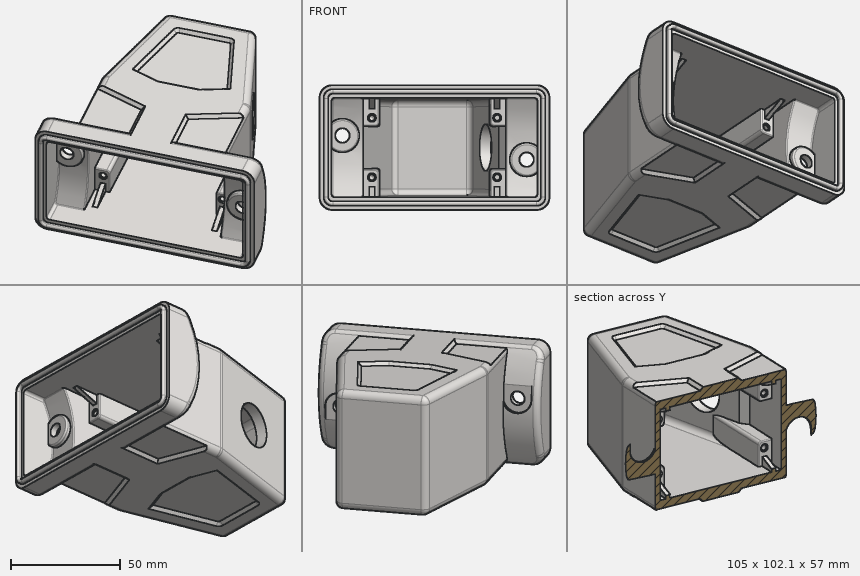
import cadquery as cq
import math

flange_width = 105.0
height = 57.0
half_height = height / 2
depth = 100.0

body_width = 71.0
body_half = body_width / 2
taper_start = 47.2
taper_tan = math.tan(math.radians(15))
back_half = body_half - (depth - taper_start) * taper_tan
edge_round = 3.5
kink_round = 5.5

flange_corner = 6.0
flange_crown = 20.0
crown_radius = 48.0
crown_center = flange_crown - crown_radius
flange_round = 3.0

mouth_half_width = 47.0
mouth_half_height = 22.65
mouth_corner = 1.5
cavity_draft = 0.6
roof_thickness = 2.5
roof_radius = crown_radius - roof_thickness
back_thickness = 4.0
cavity_end = depth - back_thickness
cavity_end_half_height = mouth_half_height - cavity_end * math.tan(math.radians(cavity_draft))
roof_round = 0.5
passage_half = 32.5
left_end_x = -19.0
inner_kink_y = cavity_end - (passage_half + left_end_x) / taper_tan
cavity_round = 3.0

right_end_x = 16.8
pad_start_x = 29.3
pad_start_y = cavity_end - (pad_start_x - right_end_x) / taper_tan

entry_diameter = 21.3
entry_x = 23.3
entry_y = cavity_end - (entry_x - right_end_x) / taper_tan
entry_reach = 15.0

screw_x = 42.0
screw_z = 5.5
screw_hole = 6.5
screw_boss = 15.4
screw_boss_tip = 14.8
boss_round = 0.8
spotface_width = 13.6
spotface_y = 18.5

post_face = 27.0
post_inner_x = 25.4
post_inner_z = 9.9
post_corner = 1.6
post_edge_round = 0.5
post_draft = 0.6
post_axis_x = 28.55
post_axis_z = 13.55
post_hole = 2.67
post_hole_chamfer = 0.55
post_hole_depth = 12.0
post_drill_slope = 1 / math.tan(math.radians(59))
rib_width = 2.4
rib_start = 14.5
rib_tip_z = 17.4
wall_bite = 1.0

recess_depth = 1.6
panel_angle_tan = math.tan(math.radians(20))
panel_top = 90.4
panel_top_half = 14.0
panel_side_end = 55.2
panel_side_half = panel_top_half + (panel_top - panel_side_end) * taper_tan
panel_flat_half = 10.1
panel_bottom = panel_side_end - (panel_side_half - panel_flat_half) * panel_angle_tan
panel_corner = 2.5
grip_inner_x = 9.65
grip_inner_y = 31.2
grip_outer_x = body_half + 5.0

gasket_inset = 1.9
gasket_width = 2.1
gasket_height = 2.13
groove_depth = 2.0


def along_y(start):
    """Workplane facing +Y at Y = start, with local x along -X and local y along Z."""
    return cq.Workplane("XZ", origin=(0, start, 0)).transformed(rotate=(0, 180, 0))


def rounded_bar(width, bar_height, corner, start, end):
    bar = along_y(start).rect(width, bar_height).extrude(end - start)
    return bar.edges("|Y").fillet(corner)


def plan_prism(points, half):
    return cq.Workplane("XY").workplane(offset=-half).polyline(points).close().extrude(2 * half)


def crown_disc(radius):
    """Disc with its axis along X that gives the flange its curved rear."""
    disc = cq.Workplane("YZ").center(crown_center, 0).circle(radius)
    return disc.extrude(flange_width, both=True)


def make_flange():
    bar = rounded_bar(flange_width, height, flange_corner, 0, flange_crown)
    flange = bar.intersect(crown_disc(crown_radius))
    return flange.faces(">Y").edges().fillet(flange_round)


def recess_prism(outline):
    """Pocket in the top face with 45 degree walls."""
    return outline.close().extrude(-recess_depth, taper=45)


def make_recesses():
    top = cq.Workplane("XY", origin=(0, 0, half_height))
    grip_outer_y = grip_inner_y + (grip_outer_x - grip_inner_x) * panel_angle_tan
    grip = recess_prism(
        top.moveTo(grip_inner_x, 0)
        .lineTo(grip_outer_x, 0)
        .lineTo(grip_outer_x, grip_outer_y)
        .lineTo(grip_inner_x, grip_inner_y)
    )
    panel_points = [
        (-panel_top_half, panel_top),
        (panel_top_half, panel_top),
        (panel_side_half, panel_side_end),
        (panel_flat_half, panel_bottom),
        (-panel_flat_half, panel_bottom),
        (-panel_side_half, panel_side_end),
    ]
    column = top.polyline(panel_points).close().extrude(-recess_depth)
    column = column.edges("|Z").edges(">Y").fillet(panel_corner)
    panel = column.faces(">Z").wires().toPending().workplane()
    panel = panel.extrude(-recess_depth, taper=45, combine=False)
    recesses = grip.union(grip.mirror("YZ")).union(panel)
    return recesses.union(recesses.mirror("XY"))


def make_body():
    outline = [
        (-body_half, 0),
        (body_half, 0),
        (body_half, taper_start),
        (back_half, depth),
        (-back_half, depth),
        (-body_half, taper_start),
    ]
    body = plan_prism(outline, half_height)
    for side in (-1, 1):
        kink = cq.selectors.NearestToPointSelector((side * body_half, taper_start, 0))
        body = body.edges(kink).fillet(kink_round)
    body = body.edges("|Z and >Y").fillet(edge_round)
    body = body.faces(">Z or <Z").edges("not <Y").fillet(edge_round)
    return body.cut(make_recesses())


def make_flange_cavity():
    """Mouth of the cavity, narrowing inward, with a roof parallel to the flange crown."""
    mouth = along_y(0).rect(2 * mouth_half_width, 2 * mouth_half_height)
    mouth = mouth.extrude(flange_crown, taper=cavity_draft)
    corners = mouth.edges("not (|X or |Z)")
    cavity = corners.fillet(mouth_corner).intersect(crown_disc(roof_radius))
    return cavity.faces(">Y").edges().fillet(roof_round)


def make_body_cavity():
    left_pad_x = left_end_x - (cavity_end - pad_start_y) * taper_tan
    front = plan_prism(
        [
            (-passage_half, 0),
            (passage_half, 0),
            (passage_half, inner_kink_y),
            (pad_start_x, pad_start_y),
            (left_pad_x, pad_start_y),
            (-passage_half, inner_kink_y),
        ],
        mouth_half_height,
    )
    taper_length = cavity_end - inner_kink_y
    back = plan_prism(
        [
            (left_end_x, cavity_end),
            (right_end_x, cavity_end),
            (right_end_x + taper_length * taper_tan, inner_kink_y),
            (left_end_x - taper_length * taper_tan, inner_kink_y),
        ],
        mouth_half_height,
    )
    side_profile = [
        (0, -mouth_half_height),
        (0, mouth_half_height),
        (cavity_end, cavity_end_half_height),
        (cavity_end, -cavity_end_half_height),
    ]
    draft = cq.Workplane("YZ").polyline(side_profile).close().extrude(flange_width, both=True)
    back = back.intersect(draft)
    back = back.faces("not <Y").edges("not <Y").fillet(cavity_round)
    return front.intersect(draft).union(back)


def make_post(side, level):
    """Post and rib at one inner corner; side is the X sign and level the Z sign."""
    outer_x = passage_half + wall_bite
    outer_z = mouth_half_height + wall_bite
    wall_x = right_end_x if side > 0 else -left_end_x
    end = cavity_end - (post_inner_x - wall_x) / taper_tan + wall_bite
    length = end - post_face
    spread = length * math.tan(math.radians(post_draft))
    root = cq.Workplane("XZ", origin=(side * (post_inner_x + outer_x) / 2, end,
                                      level * (post_inner_z + outer_z) / 2))
    root = root.rect(outer_x - post_inner_x + 2 * spread, outer_z - post_inner_z + 2 * spread)
    post = root.extrude(length, taper=post_draft)
    inner_edge = cq.selectors.NearestToPointSelector(
        (side * post_inner_x, (post_face + end) / 2, level * post_inner_z)
    )
    post = post.edges(inner_edge).fillet(post_corner)
    post = post.faces("<Y").edges().fillet(post_edge_round)
    rib = (
        cq.Workplane("YZ", origin=(side * post_axis_x, 0, 0))
        .moveTo(rib_start, level * mouth_half_height)
        .lineTo(post_face + wall_bite, level * rib_tip_z)
        .lineTo(post_face + wall_bite, level * outer_z)
        .lineTo(rib_start, level * outer_z)
        .close()
        .extrude(rib_width / 2, both=True)
    )
    return post.union(rib)


def make_post_hole(side, level):
    """Blind hole with a chamfered mouth; the -X holes end in a drill point."""
    radius = post_hole / 2
    tip = radius * post_drill_slope if side < 0 else 0
    mouth_radius = radius + post_hole_chamfer
    profile = [
        (0, 0),
        (mouth_radius, 0),
        (radius, post_hole_chamfer),
        (radius, post_hole_depth),
        (0, post_hole_depth + tip),
    ]
    hole = cq.Workplane("XY").polyline(profile).close().revolve(360, (0, 0), (0, 1))
    return hole.translate((side * post_axis_x, post_face, level * post_axis_z))


def make_entry():
    normal = (1, taper_tan, 0)
    plane = cq.Plane(origin=(entry_x, entry_y, 0), xDir=(0, 0, 1), normal=normal)
    return cq.Workplane(plane).circle(entry_diameter / 2).extrude(entry_reach, both=True)


def y_cylinder(side, diameter, start, end):
    base = cq.Workplane("XZ", origin=(side * screw_x, start, -side * screw_z))
    return base.circle(diameter / 2).extrude(-(end - start))


def make_spotface(side):
    """Round-ended flat seat around a screw hole, open toward the low side of the crown."""
    seat = y_cylinder(side, spotface_width, spotface_y, flange_crown)
    run = half_height - screw_z
    deep = flange_crown - spotface_y
    channel = cq.Workplane("XY").box(spotface_width, deep, run)
    channel = channel.translate((side * screw_x, spotface_y + deep / 2, -side * (screw_z + run / 2)))
    return seat.union(channel)


def make_gasket():
    """Ring with a domed front, seated in the groove and standing out from the flange."""
    radius = gasket_width / 2
    inset = gasket_inset + radius
    path_z = half_height - inset
    core = rounded_bar(flange_width - 2 * inset, 2 * path_z, flange_corner - inset, 0, groove_depth)
    path = core.faces("<Y").wires().val()
    dome_start = radius - gasket_height
    profile = (
        cq.Workplane("YZ", origin=(0, 0, path_z))
        .moveTo(groove_depth, -radius)
        .lineTo(dome_start, -radius)
        .threePointArc((-gasket_height, 0), (dome_start, radius))
        .lineTo(groove_depth, radius)
        .close()
    )
    return profile.sweep(cq.Workplane(path))


def make_housing():
    flange = make_flange()
    for side in (-1, 1):
        flange = flange.cut(make_spotface(side))

    flange_cavity = make_flange_cavity()
    body_cavity = make_body_cavity()
    cavity = flange_cavity.union(body_cavity)
    for side in (-1, 1):
        roof_point = (side * passage_half, flange_crown - roof_thickness, 0)
        roof_edge = cq.selectors.NearestToPointSelector(roof_point)
        cavity = cavity.edges(roof_edge).fillet(roof_round)
    housing = flange.union(make_body()).cut(cavity)

    for side in (-1, 1):
        boss = y_cylinder(side, screw_boss, screw_boss_tip, spotface_y)
        boss = boss.faces("<Y").edges().fillet(boss_round)
        housing = housing.union(boss.intersect(flange_cavity))
        housing = housing.cut(y_cylinder(side, screw_hole, 0, flange_crown))

    for side in (-1, 1):
        for level in (-1, 1):
            housing = housing.union(make_post(side, level).intersect(body_cavity))
            housing = housing.cut(make_post_hole(side, level))

    return housing.cut(make_entry())


gasket = make_gasket()
housing = make_housing().cut(gasket)

result = cq.Compound.makeCompound([housing.val(), gasket.val()])